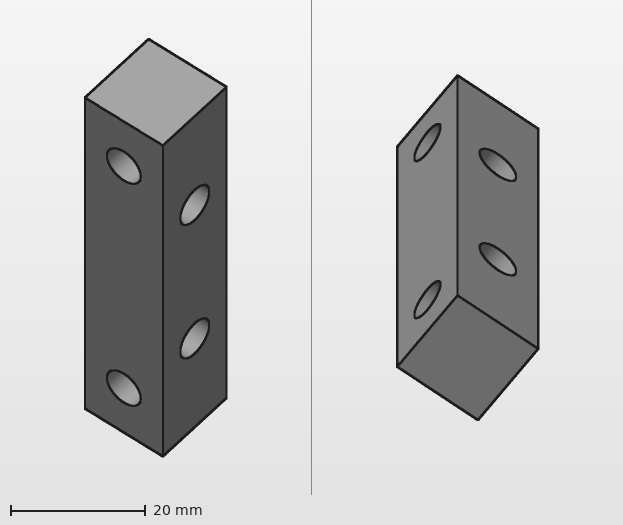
import cadquery as cq

length = 70.0
side = 15.0

outer_hole_diameter = 6.5
outer_hole_spacing = 50.0

inner_hole_diameter = 6.8
inner_hole_spacing = 30.0


def hole_pair(plane, diameter, spacing):
    """Two cylinders along the plane normal, spaced evenly about mid-height."""
    half_spacing = spacing / 2
    return (
        cq.Workplane(plane)
        .pushPoints([(0, -half_spacing), (0, half_spacing)])
        .circle(diameter / 2)
        .extrude(side, both=True)
    )


bar = cq.Workplane("XY").box(side, side, length)
outer_holes = hole_pair("XZ", outer_hole_diameter, outer_hole_spacing)
inner_holes = hole_pair("YZ", inner_hole_diameter, inner_hole_spacing)

result = bar.cut(outer_holes).cut(inner_holes)